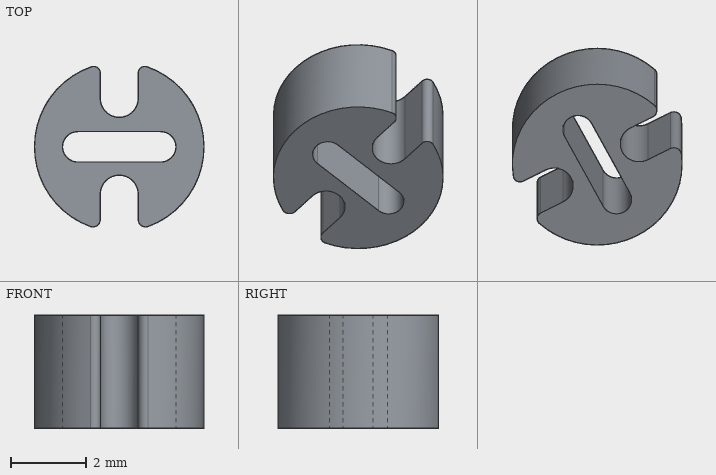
import cadquery as cq

body_diameter = 4.5
body_height = 3.0
notch_width = 1.0
slot_length = 3.0
slot_width = 0.8

back_notch_floor = 0.785
front_notch_floor = 0.755
back_lip_radius = 0.18
front_lip_radius = 0.2

body_radius = body_diameter / 2
notch_end_radius = notch_width / 2
notch_mouth = body_radius + notch_end_radius


def make_body():
    """Plain cylinder standing on the XY plane."""
    return cq.Workplane("XY").circle(body_radius).extrude(body_height)


def make_notch(side, floor):
    """Round-ended notch running out through the wall at +Y (side=1) or -Y (side=-1)."""
    end_center = floor + notch_end_radius
    return (
        cq.Workplane("XY")
        .moveTo(-notch_end_radius, side * notch_mouth)
        .lineTo(-notch_end_radius, side * end_center)
        .threePointArc((0, side * floor), (notch_end_radius, side * end_center))
        .lineTo(notch_end_radius, side * notch_mouth)
        .close()
        .extrude(body_height)
    )


def round_notch_lips(body, outermost_along_y, lip_radius):
    """Round the two vertical edges where one notch breaks through the outer wall."""
    return body.edges("|Z").edges(outermost_along_y).fillet(lip_radius)


def make_slot():
    """Through slot along X with full-round ends."""
    return cq.Workplane("XY").slot2D(slot_length, slot_width).extrude(body_height)


notched_body = make_body().cut(make_notch(1, back_notch_floor)).cut(make_notch(-1, front_notch_floor))
rounded_body = round_notch_lips(notched_body, ">Y", back_lip_radius)
rounded_body = round_notch_lips(rounded_body, "<Y", front_lip_radius)
result = rounded_body.cut(make_slot())